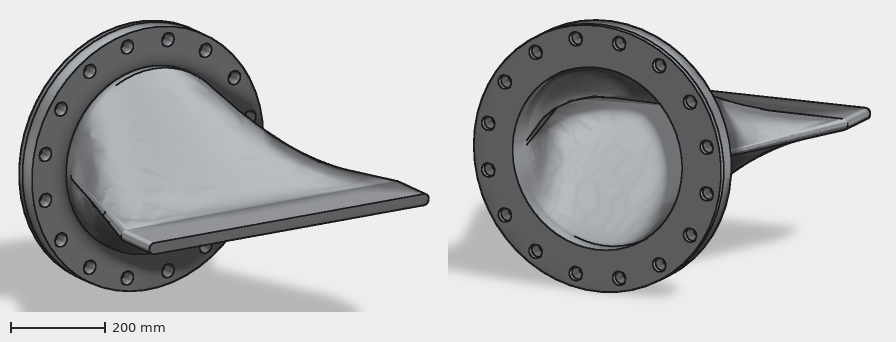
import cadquery as cq


flange_diameter = 580.0
rubber_flange_thickness = 14.0
ring_thickness = 38.0
bolt_count = 16
bolt_circle_radius = 261.0
bolt_hole_diameter = 30.0
half_pitch_angle = 180 / bolt_count

neck_outer_radius = 204.5
neck_bore_radius = 199.0
neck_end_x = 71.5
bill_start_x = 504.0
bill_end_x = 617.0
bill_width = 700.0
bill_thickness = 25.0
bill_edge_radius = bill_thickness / 2

taper_start_x = 40.0
neck_end_half_height = 186.0
side_strip_angle = 1.5
slit_half_width = 315.0
slit_side_half_height = 10.0
slit_centre_half_height = 1.0
slit_end_x = bill_end_x - bill_edge_radius
slit_end_side_half_height = 1.0
slit_end_centre_half_height = 0.35


def disc(radius, start_x, end_x):
    """Solid cylinder along X."""
    return cq.Workplane("YZ", origin=(start_x, 0, 0)).circle(radius).extrude(end_x - start_x)


def bolt_holes(start_x, end_x):
    """Cutters for the bolt holes, straddling the vertical centre line."""
    return (
        cq.Workplane("YZ", origin=(start_x, 0, 0))
        .polarArray(bolt_circle_radius, half_pitch_angle, 360, bolt_count)
        .circle(bolt_hole_diameter / 2)
        .extrude(end_x - start_x)
    )


def oval_wire(x, half_width, half_height):
    """Closed oval across X: a narrow strip at each side, joined by a long arc above and below."""
    split_angles = [
        -side_strip_angle,
        side_strip_angle,
        180 - side_strip_angle,
        180 + side_strip_angle,
        360 - side_strip_angle,
    ]
    edges = []
    for start, end in zip(split_angles, split_angles[1:]):
        edges.append(
            cq.Edge.makeEllipse(
                half_width,
                half_height,
                pnt=cq.Vector(x, 0, 0),
                dir=cq.Vector(1, 0, 0),
                xdir=cq.Vector(0, 1, 0),
                angle1=start,
                angle2=end,
            )
        )
    return cq.Wire.assembleEdges(edges)


def bill_wire(x):
    """Flat bill section with fully rounded side edges."""
    flat_half = bill_width / 2 - bill_edge_radius
    return (
        cq.Workplane("YZ", origin=(x, 0, 0))
        .moveTo(flat_half, -bill_edge_radius)
        .threePointArc((bill_width / 2, 0), (flat_half, bill_edge_radius))
        .lineTo(-flat_half, bill_edge_radius)
        .threePointArc((-bill_width / 2, 0), (-flat_half, -bill_edge_radius))
        .close()
        .val()
    )


def slit_wire(x, side_half_height, centre_half_height):
    """Slit section that is pinched at the middle by two curved lips."""
    return (
        cq.Workplane("YZ", origin=(x, 0, 0))
        .moveTo(slit_half_width, -side_half_height)
        .lineTo(slit_half_width, side_half_height)
        .threePointArc((0, centre_half_height), (-slit_half_width, side_half_height))
        .lineTo(-slit_half_width, -side_half_height)
        .threePointArc((0, -centre_half_height), (slit_half_width, -side_half_height))
        .close()
        .val()
    )


def ruled_loft(*section_wires):
    """Solid with straight-line surfaces from each section to the next."""
    return cq.Workplane(obj=cq.Solid.makeLoft(list(section_wires), True))


def sleeve_outside():
    """Flange, neck, tapering transition and flat bill, without the cavity."""
    flange = disc(flange_diameter / 2, 0, rubber_flange_thickness)
    duckbill = ruled_loft(
        oval_wire(0, neck_outer_radius, neck_outer_radius),
        oval_wire(neck_end_x, neck_outer_radius, neck_outer_radius),
        bill_wire(bill_start_x),
        bill_wire(bill_end_x),
    )
    return flange.union(duckbill)


def sleeve_cavity():
    """Bore, first taper inside the neck, main taper to the slit, and closing wedge in the bill."""
    return ruled_loft(
        oval_wire(0, neck_bore_radius, neck_bore_radius),
        oval_wire(taper_start_x, neck_bore_radius, neck_bore_radius),
        oval_wire(neck_end_x, neck_bore_radius, neck_end_half_height),
        slit_wire(bill_start_x, slit_side_half_height, slit_centre_half_height),
        slit_wire(slit_end_x, slit_end_side_half_height, slit_end_centre_half_height),
    )


def make_sleeve():
    sleeve = sleeve_outside().cut(sleeve_cavity())
    return sleeve.cut(bolt_holes(0, rubber_flange_thickness))


def make_backing_ring():
    ring_end_x = rubber_flange_thickness + ring_thickness
    ring = disc(flange_diameter / 2, rubber_flange_thickness, ring_end_x)
    ring = ring.cut(disc(neck_outer_radius, rubber_flange_thickness, ring_end_x))
    return ring.cut(bolt_holes(rubber_flange_thickness, ring_end_x))


sleeve = make_sleeve()
backing_ring = make_backing_ring()
result = cq.Compound.makeCompound([*sleeve.solids().vals(), *backing_ring.solids().vals()])